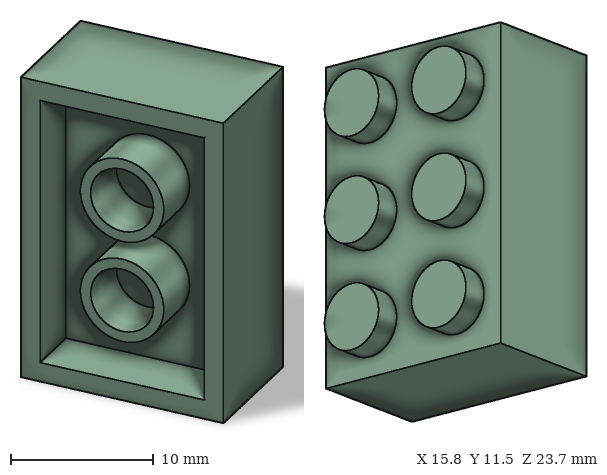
import cadquery as cq

pitch = 7.9
columns = 2
rows = 3

width = columns * pitch
height = rows * pitch
depth = 9.5
wall = 1.5
cavity_depth = 4.1

stud_diameter = 4.9
stud_height = 2.0
tube_outer_diameter = 6.5
tube_bore_diameter = stud_diameter


def grid_points(column_count, row_count):
    """Points one pitch apart in X and Z, centred on the brick."""
    return [
        ((i - (column_count - 1) / 2) * pitch, (j - (row_count - 1) / 2) * pitch)
        for i in range(column_count)
        for j in range(row_count)
    ]


def block(x_size, y_size, z_size):
    """Box centred in X and Z that rises from y = 0."""
    return cq.Workplane("XY").box(x_size, y_size, z_size, centered=(True, False, True))


def cylinders(points, diameter, y_start, length):
    """Cylinders along +Y at the given (x, z) points."""
    return (
        cq.Workplane("XZ", origin=(0, y_start, 0))
        .pushPoints(points)
        .circle(diameter / 2)
        .extrude(-length)
    )


def make_shell():
    cavity = block(width - 2 * wall, cavity_depth, height - 2 * wall)
    return block(width, depth, height).cut(cavity)


def make_studs():
    return cylinders(grid_points(columns, rows), stud_diameter, depth, stud_height)


def make_tubes():
    """Tubes in the cavity, each midway between four neighbouring studs."""
    points = grid_points(columns - 1, rows - 1)
    outer = cylinders(points, tube_outer_diameter, 0, cavity_depth)
    bore = cylinders(points, tube_bore_diameter, 0, cavity_depth)
    return outer.cut(bore)


result = make_shell().union(make_studs()).union(make_tubes())